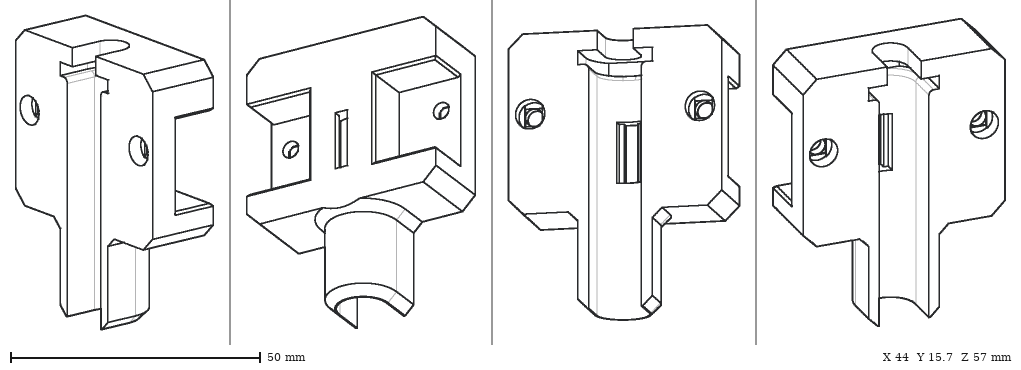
import cadquery as cq

HEIGHT = 57.0
BODY_WIDTH = 44.0
BODY_DEPTH = 15.7
BODY_BOTTOM = 20.0
BODY_CHAMFER = 2.95

AXIS_Y = 6.95
STEM_RADIUS = 7.7
STEM_CHAMFER = 2.0

BORE_RADIUS = 5.4
SLOT_RADIUS = 3.7
COLLAR_BOTTOM = 50.15
COLLAR_HEIGHT = 2.85
COLLAR_BACK = AXIS_Y + 6.25
BORE_RIM_FILLET = 1.0

WINDOW_BOTTOM = 28.05
WINDOW_TOP = 40.5
WINDOW_FRONT_WIDTH = 4.85
WINDOW_BACK_WIDTH = 2.85
WINDOW_STEP_Y = 14.0

POCKET_FRONT = 5.85
POCKET_BOTTOM = 27.5
POCKET_TOP = 46.95
POCKET_INNER_X = STEM_RADIUS
POCKET_CHAMFER = 0.55

SCREW_X = 17.5
SCREW_Z = 40.45
SCREW_DIAMETER = 3.6
COUNTERBORE_DIAMETER = 6.05
COUNTERBORE_DEPTH = 3.0
BRIDGE_STEP = 0.3

EDGE_MARGIN = 0.05


def box(x_range, y_range, z_range):
    """Axis-aligned box between the given limits."""
    lows, highs = zip(x_range, y_range, z_range)
    size = [high - low for low, high in zip(lows, highs)]
    return cq.Workplane("XY").box(*size, centered=False).translate(lows)


def channel(radius, z_bottom, z_top):
    """Upright prism, round at the back of the axis and straight forward to Y = 0."""
    return (
        cq.Workplane("XY", origin=(0, 0, z_bottom))
        .moveTo(-radius, 0)
        .lineTo(-radius, AXIS_Y)
        .threePointArc((0, AXIS_Y + radius), (radius, AXIS_Y))
        .lineTo(radius, 0)
        .close()
        .extrude(z_top - z_bottom)
    )


def front_cylinder(diameter, depth, x):
    """Cylinder at a screw position, running back from the front face."""
    return cq.Workplane("XZ", origin=(x, 0, SCREW_Z)).circle(diameter / 2).extrude(-depth)


def make_body():
    half = BODY_WIDTH / 2
    block = box((-half, half), (0, BODY_DEPTH), (BODY_BOTTOM, HEIGHT))
    return block.edges("|Y").chamfer(BODY_CHAMFER)


def cut_pockets(body):
    """Cut a pocket into each side, leaving a solid web around the axis.

    All mouth edges on the side and back faces are chamfered, apart from the
    upright edge of the front wall.
    """
    half = BODY_WIDTH / 2
    y_range = (POCKET_FRONT, BODY_DEPTH)
    z_range = (POCKET_BOTTOM, POCKET_TOP)
    body = body.cut(box((-half, -POCKET_INNER_X), y_range, z_range))
    body = body.cut(box((POCKET_INNER_X, half), y_range, z_range))
    mouth = cq.selectors.BoxSelector(
        (-half - EDGE_MARGIN, POCKET_FRONT + EDGE_MARGIN, POCKET_BOTTOM - EDGE_MARGIN),
        (half + EDGE_MARGIN, BODY_DEPTH + EDGE_MARGIN, POCKET_TOP + EDGE_MARGIN),
    )
    return body.faces("<X or >X or >Y").edges(mouth).chamfer(POCKET_CHAMFER)


def make_stem():
    """Stem chamfered at its tip, with a 45 degree flare where it meets the body."""
    stem = channel(STEM_RADIUS, 0, BODY_BOTTOM)
    stem = stem.faces("<Z").edges("not <Y").chamfer(STEM_CHAMFER)
    flare_top = BODY_BOTTOM + BODY_CHAMFER
    flare_radius = STEM_RADIUS + STEM_CHAMFER
    flare = channel(flare_radius, BODY_BOTTOM - STEM_CHAMFER, flare_top)
    flare = flare.faces("<Z").edges("not <Y").chamfer(STEM_CHAMFER)
    body_limits = box((-flare_radius, flare_radius), (0, BODY_DEPTH), (0, flare_top))
    return stem.union(flare.intersect(body_limits))


def make_channel():
    """Bore, flat-backed collar recess and narrow top slot."""
    collar_top = COLLAR_BOTTOM + COLLAR_HEIGHT
    collar = channel(STEM_RADIUS, COLLAR_BOTTOM, collar_top).intersect(
        box((-STEM_RADIUS, STEM_RADIUS), (0, COLLAR_BACK), (COLLAR_BOTTOM, collar_top))
    )
    return (
        channel(BORE_RADIUS, 0, COLLAR_BOTTOM)
        .union(collar)
        .union(channel(SLOT_RADIUS, collar_top, HEIGHT))
    )


def round_bore_rim(part):
    """Round the bore's edge at the floor of the collar recess."""
    rim = cq.selectors.BoxSelector(
        (-BORE_RADIUS - EDGE_MARGIN, -EDGE_MARGIN, COLLAR_BOTTOM - EDGE_MARGIN),
        (BORE_RADIUS + EDGE_MARGIN, AXIS_Y + BORE_RADIUS, COLLAR_BOTTOM + EDGE_MARGIN),
    )
    return part.edges(rim).fillet(BORE_RIM_FILLET)


def make_window():
    """Window through the web between the pockets, narrower at the back."""
    height = (WINDOW_BOTTOM, WINDOW_TOP)
    front_half = WINDOW_FRONT_WIDTH / 2
    back_half = WINDOW_BACK_WIDTH / 2
    front = box((-front_half, front_half), (AXIS_Y, WINDOW_STEP_Y), height)
    back = box((-back_half, back_half), (AXIS_Y, BODY_DEPTH), height)
    return front.union(back)


def make_screw_hole(x):
    """Counterbored hole that steps to a slot, then a square, then a round hole."""
    half = SCREW_DIAMETER / 2
    slot_depth = COUNTERBORE_DEPTH + BRIDGE_STEP
    square_depth = slot_depth + BRIDGE_STEP
    x_range = (x - half, x + half)
    slot = front_cylinder(COUNTERBORE_DIAMETER, slot_depth, x).intersect(
        box(x_range, (0, slot_depth), (0, HEIGHT))
    )
    square = box(x_range, (0, square_depth), (SCREW_Z - half, SCREW_Z + half))
    return (
        front_cylinder(COUNTERBORE_DIAMETER, COUNTERBORE_DEPTH, x)
        .union(slot)
        .union(square)
        .union(front_cylinder(SCREW_DIAMETER, POCKET_FRONT, x))
    )


result = cut_pockets(make_body()).union(make_stem()).cut(make_channel())
result = round_bore_rim(result).cut(make_window())
for x in (-SCREW_X, SCREW_X):
    result = result.cut(make_screw_hole(x))